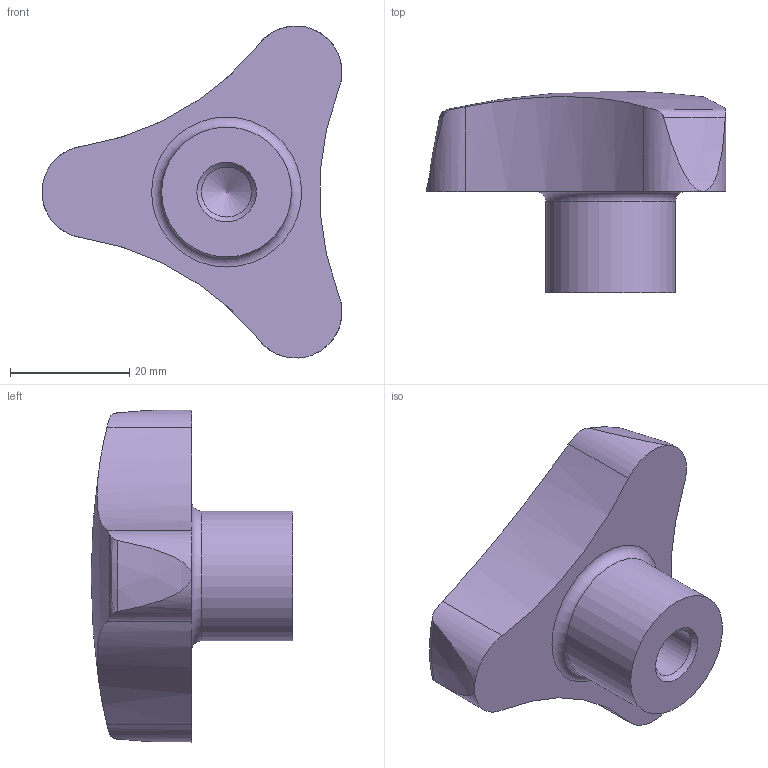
import cadquery as cq
import math

lobe_count = 3
lobe_radius = 7.75
head_radius = 31.0
lobe_center_distance = head_radius - lobe_radius
waist_distance = 15.6
head_height = 16.87
dome_radius = 125.0
side_taper = 10.0
rim_fillet = 1.7

hub_length = 17.0
hub_radius = 10.9
hub_root_fillet = 1.7

bore_radius = 4.2
mouth_radius = 5.0
mouth_depth = mouth_radius - bore_radius
bore_depth = 22.0
drill_point_angle = 118.0

touch_tolerance = 0.001

back_face_y = hub_length
crown_y = back_face_y + head_height


def polar(radius, angle):
    """Point at the given distance from the axis and angle in degrees."""
    return (radius * math.cos(math.radians(angle)), radius * math.sin(math.radians(angle)))


def revolve_about_y(profile):
    """Turn a closed (radius, Y) profile into a solid of revolution."""
    return profile.close().revolve(360, (0, 0, 0), (0, 1, 0))


def dome_height(radius):
    """Y of the spherical dome at a distance from the axis."""
    return crown_y - dome_radius + math.sqrt(dome_radius**2 - radius**2)


def dome_rim_radius():
    """Distance from the axis at which the tapered side meets the dome."""
    slope = math.tan(math.radians(side_taper))
    sphere_offset = dome_radius - head_height
    a = 1 + slope**2
    half_b = sphere_offset - head_radius * slope
    c = head_radius**2 + sphere_offset**2 - dome_radius**2
    rim_height = (math.sqrt(half_b**2 - a * c) - half_b) / a
    return head_radius - slope * rim_height


def make_blank():
    """Turned blank with tapered side, domed front and rounded rim."""
    rim_radius = dome_rim_radius()
    mid_radius = rim_radius / 2
    profile = (
        cq.Workplane("XY")
        .moveTo(0, back_face_y)
        .lineTo(head_radius, back_face_y)
        .lineTo(rim_radius, dome_height(rim_radius))
        .threePointArc((mid_radius, dome_height(mid_radius)), (0, crown_y))
    )
    return revolve_about_y(profile).faces(">Y").edges("%CIRCLE").fillet(rim_fillet)


def make_lobed_prism():
    """Straight prism with round lobes joined by tangent hollow sides."""
    pitch = 360 / lobe_count
    half_pitch = pitch / 2
    along, across = polar(lobe_center_distance, half_pitch)
    inner_offset = waist_distance - lobe_radius
    hollow_center = (lobe_center_distance**2 - inner_offset**2) / (2 * (along - inner_offset))
    contact_angle = math.degrees(math.atan2(across, hollow_center - along))
    contact_along = along + lobe_radius * math.cos(math.radians(contact_angle))
    contact_across = across - lobe_radius * math.sin(math.radians(contact_angle))
    contact_distance = math.hypot(contact_along, contact_across)
    contact_bearing = math.degrees(math.atan2(contact_across, contact_along))

    outline = cq.Workplane("XZ", origin=(0, crown_y, 0)).moveTo(*polar(contact_distance, -contact_bearing))
    for index in range(lobe_count):
        hollow = index * pitch
        outline = outline.threePointArc(
            polar(waist_distance, hollow), polar(contact_distance, hollow + contact_bearing)
        )
        outline = outline.threePointArc(
            polar(head_radius, hollow + half_pitch),
            polar(contact_distance, hollow + pitch - contact_bearing),
        )
    return outline.close().extrude(head_height)


def make_hub():
    """Round hub flaring into the back face through a concave fillet."""
    flare_radius = hub_radius + hub_root_fillet
    fillet_inset = hub_root_fillet * (1 - math.sqrt(0.5))
    profile = (
        cq.Workplane("XY")
        .lineTo(hub_radius, 0)
        .lineTo(hub_radius, back_face_y - hub_root_fillet)
        .threePointArc(
            (hub_radius + fillet_inset, back_face_y - fillet_inset),
            (flare_radius, back_face_y),
        )
        .lineTo(0, back_face_y)
    )
    return revolve_about_y(profile)


def make_bore():
    """Cutter for the countersunk blind bore in the end of the hub."""
    point_depth = bore_radius / math.tan(math.radians(drill_point_angle / 2))
    profile = (
        cq.Workplane("XY")
        .lineTo(mouth_radius, 0)
        .lineTo(bore_radius, mouth_depth)
        .lineTo(bore_radius, bore_depth)
        .lineTo(0, bore_depth + point_depth)
    )
    return revolve_about_y(profile)


head = make_blank().intersect(make_lobed_prism(), tol=touch_tolerance)
result = head.union(make_hub()).cut(make_bore())